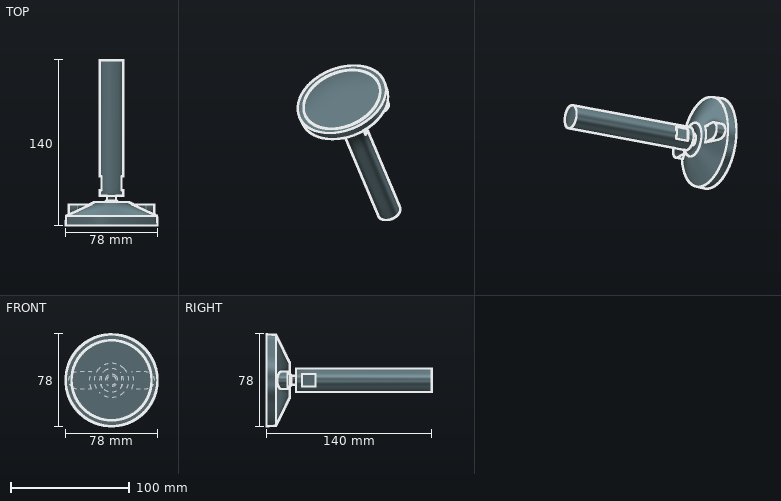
import cadquery as cq

TOTAL_LENGTH = 140.0

FOOT_DIAMETER = 78.0
RIM_TOP_DIAMETER = 77.2
RIM_HEIGHT = 8.2
FOOT_HEIGHT = 20.0
FOOT_TOP_DIAMETER = 29.0

PAD_DIAMETER = 67.5
PAD_SEAT_DIAMETER = 68.0
PAD_GROOVE_DEPTH = 0.5

LUG_WIDTH = 14.5
LUG_SPACING = 58.0
LUG_TOP = 18.0
LUG_ROOT = RIM_HEIGHT / 2

NECK_DIAMETER = 7.8
NECK_COLLAR_DIAMETER = 10.5
COLLAR_HEIGHT = (NECK_COLLAR_DIAMETER - NECK_DIAMETER) / 2

SPINDLE_DIAMETER = 20.0
SPINDLE_START = 25.0
FLATS_START = 30.0
FLATS_LENGTH = 11.5
ACROSS_FLATS = 17.0


def disc(diameter, start, end):
    """Round bar on the Y axis between two Y positions."""
    plane = cq.Workplane("XZ", origin=(0, start, 0))
    return plane.circle(diameter / 2).extrude(start - end)


def foot_plate():
    """Slightly tapered rim below a flat-topped cone."""
    profile = [
        (0, 0),
        (FOOT_DIAMETER / 2, 0),
        (RIM_TOP_DIAMETER / 2, RIM_HEIGHT),
        (FOOT_TOP_DIAMETER / 2, FOOT_HEIGHT),
        (0, FOOT_HEIGHT),
    ]
    return cq.Workplane("XY").polyline(profile).close().revolve(360, (0, 0, 0), (0, 1, 0))


def lugs():
    """Rounded bar along X whose ends stand out of the cone."""
    plane = cq.Workplane("XZ", origin=(0, LUG_ROOT, 0))
    return plane.slot2D(LUG_SPACING + LUG_WIDTH, LUG_WIDTH).extrude(LUG_ROOT - LUG_TOP)


def neck():
    """Thin neck that flares at 45 degrees into the top of the foot."""
    collar_radius = NECK_COLLAR_DIAMETER / 2
    neck_radius = NECK_DIAMETER / 2
    profile = [
        (0, FOOT_HEIGHT),
        (collar_radius, FOOT_HEIGHT),
        (neck_radius, FOOT_HEIGHT + COLLAR_HEIGHT),
        (neck_radius, SPINDLE_START),
        (0, SPINDLE_START),
    ]
    return cq.Workplane("XY").polyline(profile).close().revolve(360, (0, 0, 0), (0, 1, 0))


def spindle():
    """Round spindle with a wrench flat on each X side."""
    bar = disc(SPINDLE_DIAMETER, SPINDLE_START, TOTAL_LENGTH)
    flat_depth = (SPINDLE_DIAMETER - ACROSS_FLATS) / 2
    flat_centre_y = FLATS_START + FLATS_LENGTH / 2
    for side in (-1, 1):
        cutter = cq.Workplane("XY").box(flat_depth, FLATS_LENGTH, SPINDLE_DIAMETER)
        bar = bar.cut(cutter.translate((side * (ACROSS_FLATS + flat_depth) / 2, flat_centre_y, 0)))
    return bar


def pad_groove():
    """Thin ring around the pad."""
    seat = disc(PAD_SEAT_DIAMETER, 0, PAD_GROOVE_DEPTH)
    return seat.cut(disc(PAD_DIAMETER, 0, PAD_GROOVE_DEPTH))


result = foot_plate().union(lugs()).union(neck()).union(spindle()).cut(pad_groove())